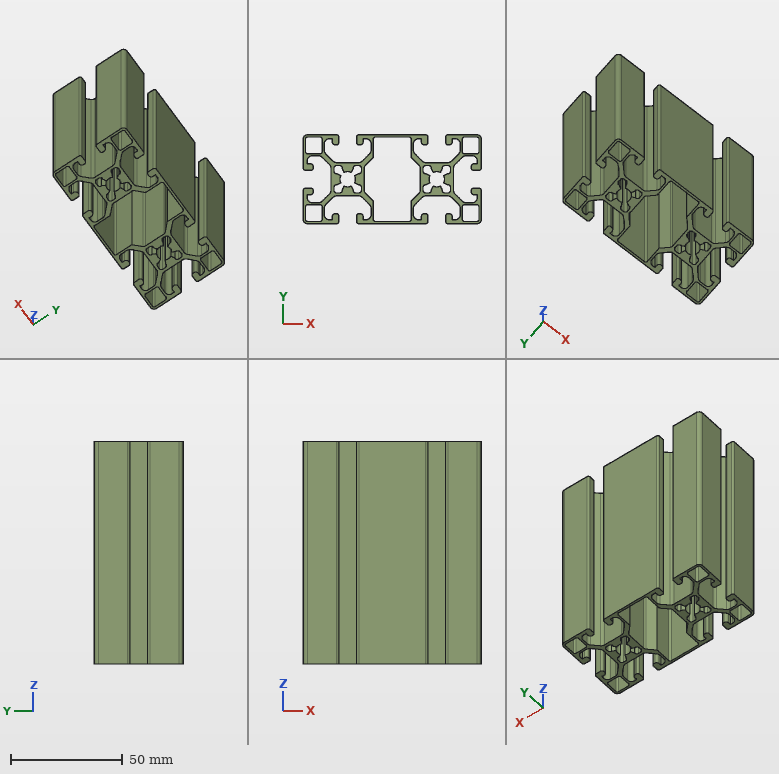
import cadquery as cq
import math

LENGTH = 100.0
MODULE = 40.0
WIDTH = 2 * MODULE
DEPTH = MODULE
HALF_MODULE = MODULE / 2
OUTER_RADIUS = 2.0
CORE_CENTRES = [(-HALF_MODULE, 0), (HALF_MODULE, 0)]

SLOT_HALF_MOUTH = 4.0
LIP_THICKNESS = 3.0
LIP_DEPTH = 4.6
LIP_CEILING = 1.9
SLOT_HALF_WIDTH = 10.5
SLOT_FLOOR = 7.5
WEB_OFFSET = 1.6
MOUTH_RADIUS = 1.0
LIP_TIP_RADIUS = 1.0
LIP_INNER_RADIUS = 1.4
UNDERCUT_RADIUS = 2.2
FLOOR_RADIUS = 2.5

SKIN = 1.1
CHAMBER_INNER = 11.5
MIDDLE_WEB_OFFSET = 1.8
CORNER_CHAMBER_RADIUS = 0.9
MIDDLE_CHAMBER_RADIUS = 0.9
MIDDLE_FLOOR_RADIUS = 1.5

BORE_RADIUS = 3.4
LOBE_NEAR = 2.5
LOBE_FAR = 6.1
LOBE_THROAT = (1.6, 3.0)
LOBE_FLANK_END = 4.8
LOBE_RADIUS = 1.1


def prism(points):
    """Full-length prism from a closed polygon."""
    return cq.Workplane("XY").polyline(points).close().extrude(LENGTH)


def round_edges_at(solid, points, radius):
    """Fillet the vertical edges passing through the given points."""
    reach = 0.01
    for x, y in points:
        lower = (x - reach, y - reach, -reach)
        upper = (x + reach, y + reach, LENGTH + reach)
        box = cq.selectors.BoxSelector(lower, upper)
        solid = solid.edges("|Z").edges(box).fillet(radius)
    return solid


def mirrored(points):
    """Points followed by their mirror images across the Y axis, in loop order."""
    return points + [(-x, y) for x, y in reversed(points)]


def both_sides(point):
    """A point and its mirror image across the Y axis."""
    return mirrored([point])


def slot_cutter():
    """T-slot opening towards +Y, about a core centred on the origin."""
    mouth = (SLOT_HALF_MOUTH, HALF_MODULE)
    lip_tip = HALF_MODULE - LIP_DEPTH
    lip_outer = (SLOT_HALF_MOUTH, lip_tip)
    lip_back = SLOT_HALF_MOUTH + LIP_THICKNESS
    lip_inner = (lip_back, lip_tip)
    ceiling = HALF_MODULE - LIP_CEILING
    lip_root = (lip_back, ceiling)
    undercut = (SLOT_HALF_WIDTH, ceiling)
    wall_end = (SLOT_HALF_WIDTH, SLOT_HALF_WIDTH + WEB_OFFSET)
    floor_end = (SLOT_FLOOR - WEB_OFFSET, SLOT_FLOOR)
    half = [mouth, lip_outer, lip_inner, lip_root, undercut, wall_end, floor_end]
    cutter = prism(mirrored(half))
    cutter = round_edges_at(cutter, both_sides(lip_outer), LIP_TIP_RADIUS)
    cutter = round_edges_at(cutter, both_sides(lip_inner), LIP_INNER_RADIUS)
    cutter = round_edges_at(cutter, both_sides(undercut), UNDERCUT_RADIUS)
    cutter = round_edges_at(cutter, both_sides(wall_end), FLOOR_RADIUS)
    return round_edges_at(cutter, both_sides(floor_end), FLOOR_RADIUS)


def core_cutter():
    """Round bore with a rounded lobe on each diagonal."""
    cutter = cq.Workplane("XY").circle(BORE_RADIUS).extrude(LENGTH)
    throat_x, throat_y = LOBE_THROAT
    near_top = (LOBE_NEAR, LOBE_FAR)
    far_corner = (LOBE_FAR, LOBE_FAR)
    near_side = (LOBE_FAR, LOBE_NEAR)
    lobe = prism([
        (0, 0),
        (throat_x, throat_y),
        (LOBE_NEAR, LOBE_FLANK_END),
        near_top,
        far_corner,
        near_side,
        (LOBE_FLANK_END, LOBE_NEAR),
        (throat_y, throat_x),
    ])
    lobe = round_edges_at(lobe, [near_top, far_corner, near_side], LOBE_RADIUS)
    for quarter in range(4):
        cutter = cutter.union(lobe.rotate((0, 0, 0), (0, 0, 1), 90 * quarter))
    return cutter


def corner_chamber_cutters():
    """Square hollow in each outer corner of the profile."""
    side = HALF_MODULE - SKIN - CHAMBER_INNER
    from_edge = SKIN + side / 2
    x = WIDTH / 2 - from_edge
    y = DEPTH / 2 - from_edge
    squares = cq.Workplane("XY").rect(2 * x, 2 * y, forConstruction=True).vertices().rect(side, side)
    return squares.extrude(LENGTH).edges("|Z").fillet(CORNER_CHAMBER_RADIUS)


def middle_chamber_cutter():
    """Large hollow between the two cores, widened beside the cores by the sloping webs."""
    wall_x = HALF_MODULE - CHAMBER_INNER
    core_x = HALF_MODULE - SLOT_FLOOR
    top = DEPTH / 2 - SKIN
    shoulder_y = CHAMBER_INNER - MIDDLE_WEB_OFFSET
    core_y = SLOT_FLOOR - MIDDLE_WEB_OFFSET
    upper_right = [(wall_x, top), (wall_x, shoulder_y), (core_x, core_y)]
    lower_right = [(x, -y) for x, y in reversed(upper_right)]
    cutter = prism(mirrored(upper_right + lower_right))
    tops = both_sides((wall_x, top)) + both_sides((wall_x, -top))
    cutter = round_edges_at(cutter, tops, MIDDLE_CHAMBER_RADIUS)
    core_corners = both_sides((core_x, core_y)) + both_sides((core_x, -core_y))
    return round_edges_at(cutter, core_corners, MIDDLE_FLOOR_RADIUS)


body = cq.Workplane("XY").rect(WIDTH, DEPTH).extrude(LENGTH)
body = body.edges("|Z").fillet(OUTER_RADIUS)

slot = slot_cutter()
core = core_cutter()
for core_x, core_y in CORE_CENTRES:
    body = body.cut(core.translate((core_x, core_y, 0)))
    end_slot_turn = 90 if core_x < 0 else -90
    for turn in (0, 180, end_slot_turn):
        turned_slot = slot.rotate((0, 0, 0), (0, 0, 1), turn)
        body = body.cut(turned_slot.translate((core_x, core_y, 0)))

for core_x, core_y in CORE_CENTRES:
    end_x = math.copysign(WIDTH / 2, core_x)
    for side in (-1, 1):
        left_edge = (core_x - SLOT_HALF_MOUTH, side * DEPTH / 2)
        right_edge = (core_x + SLOT_HALF_MOUTH, side * DEPTH / 2)
        end_edge = (end_x, core_y + side * SLOT_HALF_MOUTH)
        body = round_edges_at(body, [left_edge, right_edge, end_edge], MOUTH_RADIUS)

body = body.cut(corner_chamber_cutters())
result = body.cut(middle_chamber_cutter())